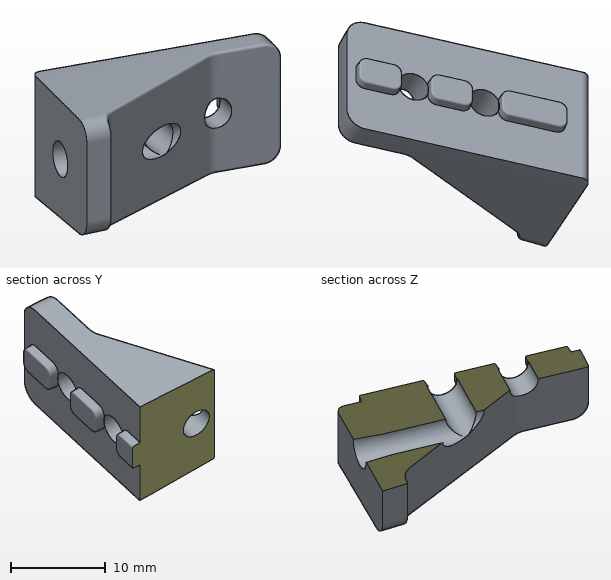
import cadquery as cq
import math


flange_length = 27.5
foot_length = 14.5
width = 13.93
wall = 3.0
straight_rim = 1.0

side_draft = 2.0
foot_end_draft = 5.0
hole_draft = 5.0
key_draft = 5.0

gusset_angle = 30.0
gusset_foot_x = 12.5
gusset_top_y = wall + (gusset_foot_x - wall) / math.tan(math.radians(gusset_angle))
flange_blend_radius = 2.5
foot_blend_radius = 2.0

heel_radius = 1.0
corner_radius = 2.0
rim_radius = 0.3

hole_diameter = 3.4
flange_hole_y = (12.0, 20.0)
foot_hole_x = 7.5

key_height = 1.0
key_width = 3.4
key_corner_radius = 1.0
key_tip_radius = 0.2
key_overlap = 0.1
keys_start_y = 2.93
keys_end_y = 26.5


def draft_offset(depth, angle):
    """Sideways shift of a drafted wall over the given depth."""
    return depth * math.tan(math.radians(angle))


def bracket_prism():
    """Flange, foot and sloped gusset as one straight prism along Z."""
    foot_tip_x = foot_length - draft_offset(wall, foot_end_draft)
    return (
        cq.Workplane("XY")
        .polyline([
            (0, 0),
            (foot_length, 0),
            (foot_tip_x, wall),
            (gusset_foot_x, wall),
            (wall, gusset_top_y),
            (wall, flange_length),
            (0, flange_length),
        ])
        .close()
        .extrude(width / 2, both=True)
    )


def flange_outline(plane_x):
    """Flange outline in the YZ plane, rounded at its free end and run past the foot face."""
    overrun = corner_radius
    return (
        cq.Workplane("YZ", origin=(plane_x, 0, 0))
        .center((flange_length - overrun) / 2, 0)
        .sketch()
        .rect(flange_length + overrun, width)
        .vertices(">X")
        .fillet(corner_radius)
        .finalize()
    )


def drafted_envelope():
    """Straight rim, then sides and free end that narrow away from the mounting face."""
    rim = flange_outline(0).extrude(straight_rim)
    drafted = flange_outline(straight_rim).extrude(foot_length - straight_rim, taper=side_draft)
    return rim.union(drafted)


def edge_near(x, y, z_side):
    """Selector for the edge nearest (x, y) at mid-width (0) or on the lower (-1) or upper (1) side."""
    return cq.selectors.NearestToPointSelector((x, y, z_side * width / 2))


def make_body():
    """Drafted bracket with rounded edges, before holes and keys."""
    body = bracket_prism()
    body = body.edges(edge_near(0, 0, 0)).fillet(heel_radius)
    body = body.edges(edge_near(wall, gusset_top_y, 0)).fillet(flange_blend_radius)
    body = body.edges(edge_near(gusset_foot_x, wall, 0)).fillet(foot_blend_radius)
    body = body.intersect(drafted_envelope())
    for z_side in (-1, 1):
        body = body.edges(edge_near(foot_length, wall / 2, z_side)).fillet(corner_radius)
    return body.edges(edge_near(wall, (gusset_top_y + flange_length) / 2, 1)).fillet(rim_radius)


def make_key(start_y, end_y):
    """Drafted, rounded key standing out from the flange face towards -X."""
    length = end_y - start_y
    return (
        cq.Workplane("YZ")
        .center((start_y + end_y) / 2, 0)
        .sketch()
        .rect(length, key_width)
        .vertices()
        .fillet(key_corner_radius)
        .finalize()
        .extrude(-key_height, taper=key_draft)
        .faces("<X")
        .edges()
        .fillet(key_tip_radius)
    )


def key_spans():
    """Y limits of the keys, which fill the line between and beyond the flange holes."""
    hole_gap = hole_diameter / 2 - key_overlap
    starts = [keys_start_y] + [y + hole_gap for y in flange_hole_y]
    ends = [y - hole_gap for y in flange_hole_y] + [keys_end_y]
    return zip(starts, ends)


def flange_holes():
    """Straight holes along X through the flange and out of the gusset."""
    return (
        cq.Workplane("YZ")
        .pushPoints([(y, 0) for y in flange_hole_y])
        .circle(hole_diameter / 2)
        .extrude(foot_length)
    )


def foot_hole():
    """Hole that narrows through the foot thickness, then runs straight out of the gusset."""
    throat_radius = hole_diameter / 2
    mouth_radius = throat_radius + draft_offset(wall, hole_draft)
    return (
        cq.Workplane("XY")
        .moveTo(foot_hole_x, 0)
        .lineTo(foot_hole_x + mouth_radius, 0)
        .lineTo(foot_hole_x + throat_radius, wall)
        .lineTo(foot_hole_x + throat_radius, flange_length)
        .lineTo(foot_hole_x, flange_length)
        .close()
        .revolve(360, (foot_hole_x, 0), (foot_hole_x, 1))
    )


result = make_body()
for key_start, key_end in key_spans():
    result = result.union(make_key(key_start, key_end))
result = result.cut(flange_holes()).cut(foot_hole())